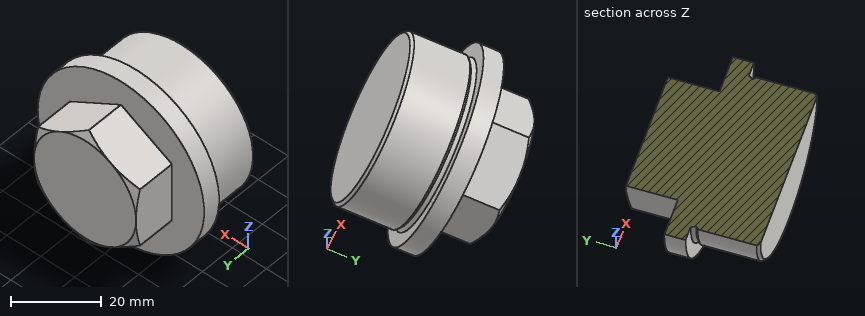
import cadquery as cq
import math


body_diameter = 42.0
body_length = 16.0
body_chamfer = 0.7
flange_diameter = 49.0
flange_thickness = 5.0
groove_depth = 0.65
groove_flank_length = 1.05
groove_flank_angle = 30.0
groove_lead_length = 0.6
hex_across_flats = 30.0
hex_height = 12.0
hex_chamfer_angle = 30.0

body_radius = body_diameter / 2
flange_radius = flange_diameter / 2
groove_radius = body_radius - groove_depth
seat_radius = groove_radius + groove_flank_length * math.tan(math.radians(groove_flank_angle))
head_end = flange_thickness + hex_height
hex_flat_radius = hex_across_flats / 2
hex_corner_radius = hex_flat_radius / math.cos(math.pi / 6)
hex_corner_drop = (hex_corner_radius - hex_flat_radius) * math.tan(math.radians(hex_chamfer_angle))


def revolve_about_y(profile):
    """Revolve a closed (radius, Y) profile about the Y axis."""
    return cq.Workplane("XY").polyline(profile).close().revolve(360, (0, 0), (0, 1))


def make_body_and_flange():
    """Plug body with chamfered end, V-shaped relief groove and flange."""
    return revolve_about_y([
        (0, -body_length),
        (body_radius - body_chamfer, -body_length),
        (body_radius, -body_length + body_chamfer),
        (body_radius, -groove_flank_length - groove_lead_length),
        (groove_radius, -groove_flank_length),
        (seat_radius, 0),
        (flange_radius, 0),
        (flange_radius, flange_thickness),
        (0, flange_thickness),
    ])


def make_hex_head():
    """Hexagon with flats facing +X and -X and conically bevelled corners."""
    corners = []
    for index in range(6):
        angle = math.pi / 6 + index * math.pi / 3
        corners.append((hex_corner_radius * math.cos(angle), hex_corner_radius * math.sin(angle)))
    prism = cq.Workplane("XZ").polyline(corners).close().extrude(-head_end)
    bevel_envelope = revolve_about_y([
        (0, 0),
        (hex_corner_radius, 0),
        (hex_corner_radius, head_end - hex_corner_drop),
        (hex_flat_radius, head_end),
        (0, head_end),
    ])
    return prism.intersect(bevel_envelope)


result = make_body_and_flange().union(make_hex_head())